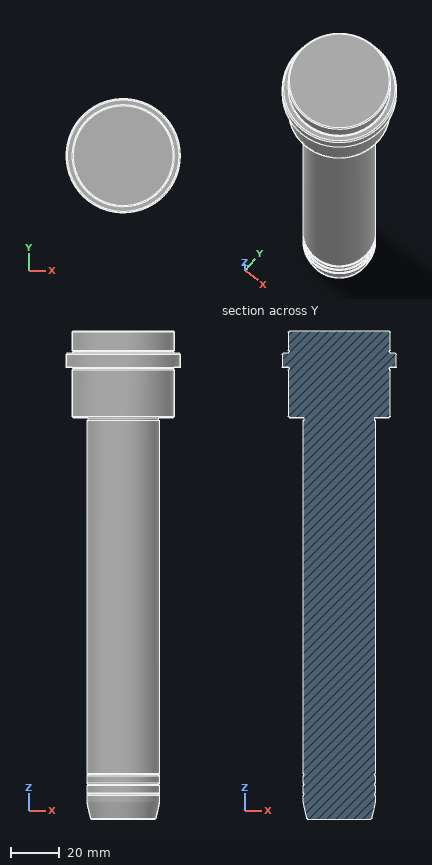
import cadquery as cq

total_length = 201.0
shaft_diameter = 30.0
head_diameter = 42.0
collar_diameter = 47.0

head_length = 35.8
collar_top_depth = 9.0
collar_bottom_depth = 15.0
edge_chamfer = 0.5
collar_chamfer = 0.6

collar_relief_width = 1.0
collar_relief_depth = 0.5

shaft_relief_width = 1.2
shaft_relief_depth = 0.5

groove_count = 3
groove_spacing = 4.0
first_groove_height = 10.5
groove_width = 1.0
groove_depth = 0.5

nose_length = 7.2
nose_end_radius = 13.5
nose_bulge = 0.1

shaft_radius = shaft_diameter / 2
head_radius = head_diameter / 2
collar_radius = collar_diameter / 2
head_bottom = total_length - head_length
collar_top = total_length - collar_top_depth
collar_bottom = total_length - collar_bottom_depth


def cylinder(radius, bottom, top):
    """Solid cylinder about Z between two heights."""
    return cq.Workplane("XY").workplane(offset=bottom).circle(radius).extrude(top - bottom)


def ring_groove(surface_radius, bottom, width, depth):
    """Cutter for a square-bottomed ring groove in a cylinder of the given radius."""
    return cylinder(surface_radius + depth, bottom, bottom + width).cut(
        cylinder(surface_radius - depth, bottom, bottom + width)
    )


def v_groove(surface_radius, bottom, width, depth):
    """Cutter for a V-shaped ring groove in a cylinder of the given radius."""
    return (
        cq.Workplane("XZ")
        .moveTo(surface_radius, bottom)
        .lineTo(surface_radius - depth, bottom + width / 2)
        .lineTo(surface_radius, bottom + width)
        .lineTo(surface_radius + depth, bottom + width)
        .lineTo(surface_radius + depth, bottom)
        .close()
        .revolve(360, (0, 0, 0), (0, 1, 0))
    )


def make_shaft():
    """Pin with a slightly bulged nose, revolved about Z."""
    middle_radius = (shaft_radius + nose_end_radius) / 2 + nose_bulge
    middle_height = (nose_length + edge_chamfer) / 2
    return (
        cq.Workplane("XZ")
        .moveTo(0, 0)
        .lineTo(nose_end_radius - edge_chamfer, 0)
        .lineTo(nose_end_radius, edge_chamfer)
        .threePointArc((middle_radius, middle_height), (shaft_radius, nose_length))
        .lineTo(shaft_radius, head_bottom)
        .lineTo(0, head_bottom)
        .close()
        .revolve(360, (0, 0, 0), (0, 1, 0))
    )


head = cylinder(head_radius, head_bottom, total_length)
head = head.faces("<Z").edges().chamfer(edge_chamfer)
head = head.faces(">Z").edges().chamfer(edge_chamfer)
for relief_bottom in (collar_top, collar_bottom - collar_relief_width):
    head = head.cut(v_groove(head_radius, relief_bottom, collar_relief_width, collar_relief_depth))

collar = cylinder(collar_radius, collar_bottom, collar_top)
collar = collar.faces(">Z").edges().chamfer(collar_chamfer)

shaft = make_shaft()
shaft_relief_bottom = head_bottom - shaft_relief_width
shaft = shaft.cut(ring_groove(shaft_radius, shaft_relief_bottom, shaft_relief_width, shaft_relief_depth))
for index in range(groove_count):
    groove_bottom = first_groove_height + index * groove_spacing - groove_width / 2
    shaft = shaft.cut(v_groove(shaft_radius, groove_bottom, groove_width, groove_depth))

result = shaft.union(head).union(collar)